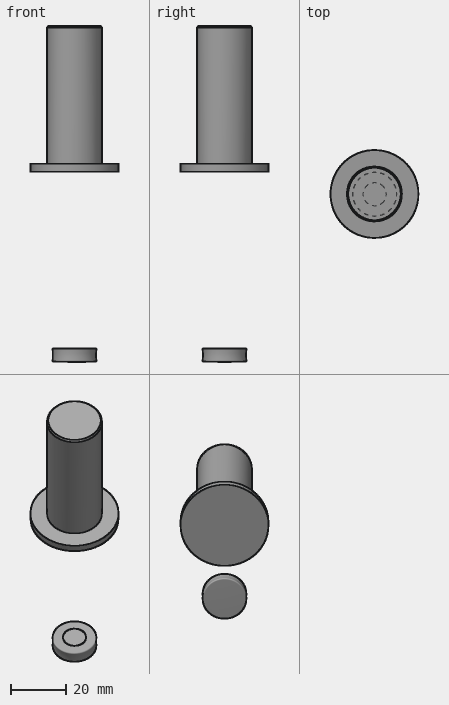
import cadquery as cq
import math

shank_diameter = 20.0
shank_length = 50.0
shank_chamfer_height = 0.75
shank_chamfer_width = 0.5
flange_diameter = 32.0
flange_thickness = 3.0

overall_height = 122.0
disc_diameter = 16.0
disc_height = 5.0
disc_waist_depth = 0.12
disc_edge_radius = 0.45
disc_boss_diameter = 8.4
disc_dish_depth = 0.2
disc_dome_rise = 0.15
disc_bottom_z = flange_thickness + shank_length - overall_height


def revolve_about_z(profile):
    return profile.close().revolve(360, (0, 0, 0), (0, 1, 0))


def make_pin():
    """Stepped pin with a steep lead-in chamfer at the top of the shank."""
    flange_radius = flange_diameter / 2
    shank_radius = shank_diameter / 2
    top_z = flange_thickness + shank_length
    profile = (
        cq.Workplane("XZ")
        .lineTo(flange_radius, 0)
        .lineTo(flange_radius, flange_thickness)
        .lineTo(shank_radius, flange_thickness)
        .lineTo(shank_radius, top_z - shank_chamfer_height)
        .lineTo(shank_radius - shank_chamfer_width, top_z)
        .lineTo(0, top_z)
    )
    return revolve_about_z(profile)


def make_disc():
    """Disc with a domed bottom, a waisted side and a dished top around a central boss."""
    radius = disc_diameter / 2
    face_radius = radius - disc_edge_radius
    boss_radius = disc_boss_diameter / 2
    dish_z = disc_height - disc_dish_depth

    edge_inset = disc_edge_radius * (1 - math.sqrt(0.5))
    edge_mid_radius = radius - edge_inset
    side_low_z = disc_dome_rise + disc_edge_radius
    side_high_z = disc_height - disc_edge_radius
    side_mid_z = (side_low_z + side_high_z) / 2

    dome_radius = (face_radius**2 + disc_dome_rise**2) / (2 * disc_dome_rise)
    dome_mid_x = face_radius / 2
    dome_mid_z = dome_radius - math.sqrt(dome_radius**2 - dome_mid_x**2)

    profile = (
        cq.Workplane("XZ", origin=(0, 0, disc_bottom_z))
        .threePointArc((dome_mid_x, dome_mid_z), (face_radius, disc_dome_rise))
        .threePointArc((edge_mid_radius, disc_dome_rise + edge_inset), (radius, side_low_z))
        .threePointArc((radius - disc_waist_depth, side_mid_z), (radius, side_high_z))
        .threePointArc((edge_mid_radius, disc_height - edge_inset), (face_radius, disc_height))
        .lineTo(boss_radius, dish_z)
        .lineTo(boss_radius, disc_height)
        .lineTo(0, disc_height)
    )
    return revolve_about_z(profile)


pin = make_pin()
disc = make_disc()

result = cq.Compound.makeCompound([pin.val(), disc.val()])